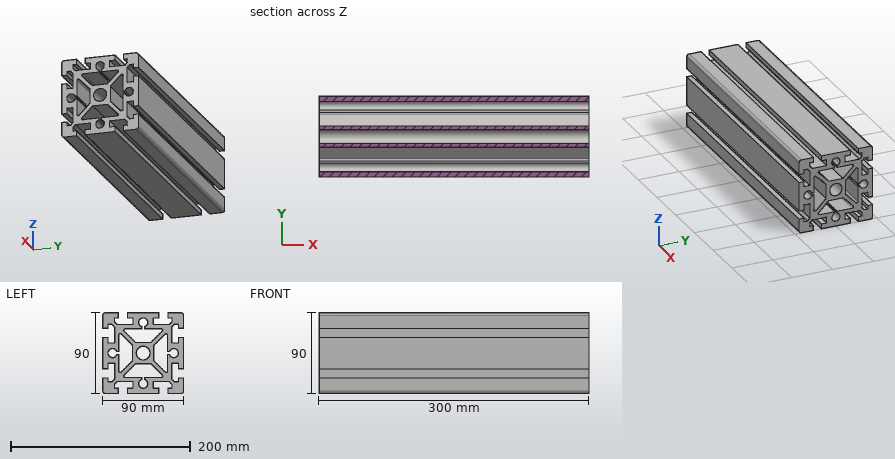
import cadquery as cq
import math

length = 300.0
side = 90.0
half_side = side / 2
corner_radius = 3.0

slot_offset = side / 4
slot_opening = 10.0
lip_thickness = 6.0
slot_depth = 13.2
slot_inner_edge = 11.5
slot_outer_edge = half_side - slot_depth
slot_chamfer = 3.0

core_half = 12.0
bore_diameter = 15.0
cavity_outer = 27.0
cavity_radius = 1.5
web_thickness = 4.8
web_shift = web_thickness / math.sqrt(2)

channel_diameter = 10.0
channel_centre = half_side - lip_thickness - channel_diameter / 2
slit_width = 3.0


def prism(points):
    """Extrude a closed Y-Z outline over the full length."""
    return cq.Workplane("YZ").polyline(points).close().extrude(length)


def slot(mirror):
    """T-slot in the +Z face; mirror is 1 for the +Y slot and -1 for the -Y slot."""
    lip_bottom = half_side - lip_thickness
    floor = half_side - slot_depth
    opening_inner = slot_offset - slot_opening / 2
    opening_outer = slot_offset + slot_opening / 2
    outline = [
        (opening_inner, half_side),
        (opening_inner, lip_bottom),
        (slot_inner_edge, lip_bottom),
        (slot_inner_edge, floor),
        (slot_outer_edge - slot_chamfer, floor),
        (slot_outer_edge, floor + slot_chamfer),
        (slot_outer_edge, lip_bottom),
        (opening_outer, lip_bottom),
        (opening_outer, half_side),
    ]
    return prism([(mirror * y, z) for y, z in outline])


def cavity():
    """Hollow between the core, two diagonal webs and the +Z wall."""
    outline = [
        (core_half - web_shift, core_half),
        (cavity_outer - web_shift, cavity_outer),
        (web_shift - cavity_outer, cavity_outer),
        (web_shift - core_half, core_half),
    ]
    return prism(outline).faces(">Z").edges("|X").fillet(cavity_radius)


def screw_channel():
    """Round channel behind the +Z face with a slit down into the cavity."""
    channel = (
        cq.Workplane("YZ")
        .center(0, channel_centre)
        .circle(channel_diameter / 2)
        .extrude(length)
    )
    half_slit = slit_width / 2
    slit = prism([
        (-half_slit, cavity_outer),
        (half_slit, cavity_outer),
        (half_slit, channel_centre),
        (-half_slit, channel_centre),
    ])
    return channel.union(slit)


body = (
    cq.Workplane("YZ")
    .rect(side, side)
    .extrude(length)
    .edges("|X")
    .fillet(corner_radius)
)
bore = cq.Workplane("YZ").circle(bore_diameter / 2).extrude(length)
body = body.cut(bore)

for quarter in range(4):
    for opening in (slot(1), slot(-1), cavity(), screw_channel()):
        body = body.cut(opening.rotate((0, 0, 0), (1, 0, 0), 90 * quarter))

result = body.translate((-length / 2, 0, 0))